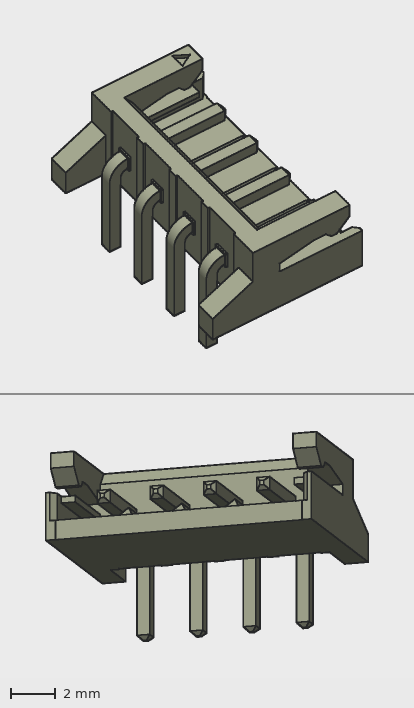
import cadquery as cq
import math

pin_count = 4
pitch = 2.5
end_margin = 2.5
length = (pin_count - 1) * pitch + 2 * end_margin

arm_width = 1.1
housing_height = 4.2
side_back = 6.0
side_height = 2.2
arm_back = 5.3
foot_reach = 2.2
foot_tip_height = 1.3
foot_root_height = 2.4
nose_top = 3.5
nose_bottom = 2.8
nose_start = 4.3
nose_end = 4.6
slot_roof = 3.1
slot_roof_start = 3.35
slot_roof_end = nose_start - (slot_roof - nose_bottom)
slot_root_height = 2.7

wall_flat = 1.0
wall_thickness = 1.48
wall_bevel_drop = 0.6
floor_height = 0.9
floor_back = 5.97
side_thickness = 0.45
lead_in = 0.25
ledge_back = 5.12
ledge_bottom = 1.9

ridge_width = 0.6
ridge_height = 0.43

panel_depth = 0.1
panel_margin = 1.5
panel_gap = 0.5

pin_size = 0.6
pin_axis_height = 2.0
pin_back = 5.5
pin_bottom = -3.2
bend_inner_radius = 0.4
bend_outer_radius = bend_inner_radius + pin_size
tip_length = 0.2
tip_inset = 0.2
collar_size = 0.8

mark_base_y = 4.3
mark_width = 0.8
mark_height = mark_width * math.sqrt(3) / 2
mark_depth = 0.2

half_length = length / 2
inner_x = half_length - arm_width
cavity_x = half_length - side_thickness
pin_positions = [(i - (pin_count - 1) / 2) * pitch for i in range(pin_count)]
ridge_positions = [x + pitch / 2 for x in pin_positions[:-1]]


def block(x0, x1, y0, y1, z0, z1):
    """Axis-aligned box between two corners."""
    return cq.Workplane("XY").box(x1 - x0, y1 - y0, z1 - z0, centered=False).translate((x0, y0, z0))


def side_wall():
    """Side wall with its latch arm and foot, at the -X end."""
    outline = [
        (-foot_reach, 0),
        (side_back, 0),
        (side_back, side_height),
        (wall_thickness, side_height),
        (wall_thickness, slot_root_height),
        (slot_roof_start, slot_roof),
        (slot_roof_end, slot_roof),
        (nose_start, nose_bottom),
        (nose_end, nose_bottom),
        (arm_back, nose_top),
        (arm_back, housing_height),
        (0, housing_height),
        (0, foot_root_height),
        (-foot_reach, foot_tip_height),
    ]
    side = cq.Workplane("YZ").polyline(outline).close().extrude(arm_width).translate((-half_length, 0, 0))
    side = side.cut(block(-cavity_x, -inner_x, wall_thickness, ledge_back, floor_height, ledge_bottom))
    side = side.cut(block(-cavity_x, -inner_x, ledge_back, side_back, floor_height, side_height))
    side = side.cut(block(-cavity_x, -inner_x, floor_back, side_back, 0, floor_height))
    bevel = (
        cq.Workplane("XY")
        .workplane(offset=floor_height)
        .moveTo(-cavity_x, side_back)
        .lineTo(-cavity_x - lead_in, side_back)
        .lineTo(-cavity_x, side_back - lead_in)
        .close()
        .extrude(side_height - floor_height)
    )
    return side.cut(bevel)


def wall_and_floor():
    """Front wall and cavity floor spanning the gap between the side walls."""
    outline = [
        (0, 0),
        (floor_back, 0),
        (floor_back, floor_height),
        (wall_thickness, floor_height),
        (wall_thickness, housing_height - wall_bevel_drop),
        (wall_flat, housing_height),
        (0, housing_height),
    ]
    return cq.Workplane("YZ").polyline(outline).close().extrude(inner_x, both=True)


def ridge(x):
    """Triangular ridge along the floor with a 45 degree back end."""
    bar = (
        cq.Workplane("XZ")
        .moveTo(x - ridge_width / 2, floor_height)
        .lineTo(x, floor_height + ridge_height)
        .lineTo(x + ridge_width / 2, floor_height)
        .close()
        .extrude(-floor_back)
    )
    end_cut = (
        cq.Workplane("YZ")
        .moveTo(floor_back, floor_height)
        .lineTo(floor_back, floor_height + ridge_height)
        .lineTo(floor_back - ridge_height, floor_height + ridge_height)
        .close()
        .extrude(ridge_width, both=True)
        .translate((x, 0, 0))
    )
    return bar.cut(end_cut)


def front_panels():
    """Shallow recesses in the front face, one at each pin."""
    edges = [-half_length + panel_margin]
    for x in ridge_positions:
        edges += [x - panel_gap / 2, x + panel_gap / 2]
    edges.append(half_length - panel_margin)
    panels = cq.Workplane("XY")
    for x0, x1 in zip(edges[::2], edges[1::2]):
        panels = panels.union(block(x0, x1, 0, panel_depth, 0, housing_height))
    return panels


def pin_tip(plane):
    """Tapered square pin end growing along the plane's normal."""
    return (
        cq.Workplane(plane)
        .rect(pin_size, pin_size)
        .workplane(offset=tip_length)
        .rect(pin_size - 2 * tip_inset, pin_size - 2 * tip_inset)
        .loft()
    )


def pin(x):
    """Right-angle square pin with tapered ends, and the collar around it on the wall."""
    half = pin_size / 2
    bend_z = pin_axis_height + half - bend_outer_radius
    leg_y = -(bend_inner_radius + half)
    leg_end = pin_bottom + tip_length
    bar_end = pin_back - tip_length
    diagonal = math.sqrt(0.5)
    body = (
        cq.Workplane("YZ")
        .moveTo(bar_end, pin_axis_height - half)
        .lineTo(0, pin_axis_height - half)
        .threePointArc(
            (-bend_inner_radius * diagonal, bend_z + bend_inner_radius * diagonal),
            (-bend_inner_radius, bend_z),
        )
        .lineTo(-bend_inner_radius, leg_end)
        .lineTo(-bend_outer_radius, leg_end)
        .lineTo(-bend_outer_radius, bend_z)
        .threePointArc(
            (-bend_outer_radius * diagonal, bend_z + bend_outer_radius * diagonal),
            (0, pin_axis_height + half),
        )
        .lineTo(bar_end, pin_axis_height + half)
        .close()
        .extrude(half, both=True)
    )
    mating_tip = pin_tip(cq.Plane((0, bar_end, pin_axis_height), (1, 0, 0), (0, 1, 0)))
    solder_tip = pin_tip(cq.Plane((0, leg_y, leg_end), (1, 0, 0), (0, 0, -1)))
    collar = block(
        -collar_size / 2,
        collar_size / 2,
        0,
        panel_depth,
        pin_axis_height - collar_size / 2,
        pin_axis_height + collar_size / 2,
    )
    return body.union(mating_tip).union(solder_tip).union(collar).translate((x, 0, 0))


def pin_one_mark():
    """Triangular recess in the top of the latch arm at the -X end."""
    centre_x = -half_length + arm_width / 2
    return (
        cq.Workplane("XY")
        .workplane(offset=housing_height)
        .moveTo(centre_x - mark_width / 2, mark_base_y)
        .lineTo(centre_x + mark_width / 2, mark_base_y)
        .lineTo(centre_x, mark_base_y + mark_height)
        .close()
        .extrude(-mark_depth)
    )


side = side_wall()
result = wall_and_floor().union(side).union(side.mirror("YZ"))
for x in ridge_positions:
    result = result.union(ridge(x))
result = result.cut(front_panels())
for x in pin_positions:
    result = result.union(pin(x))
result = result.cut(pin_one_mark())